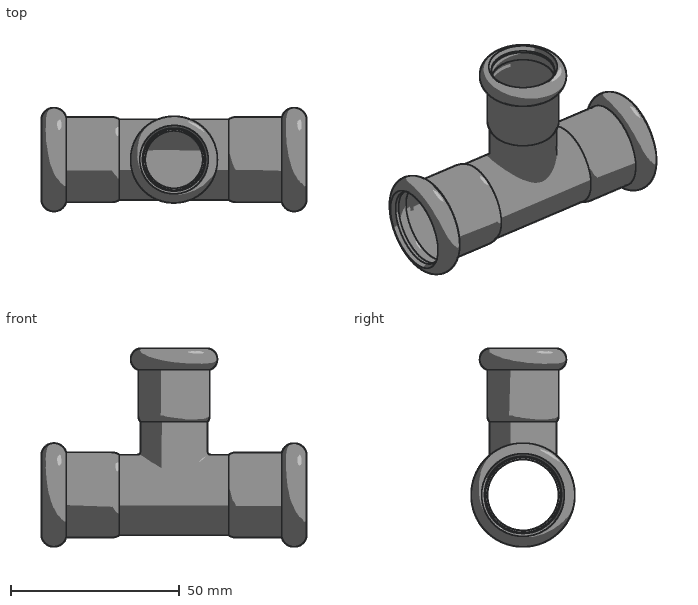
import cadquery as cq
import math

RUN_LENGTH = 78.6
BRANCH_HEIGHT = 43.5
WALL = 1.5
JUNCTION_FILLET = 0.8
LEAD_IN_DEPTH = 1.25
SEAL_WIDTH = 2.7
SEAL_BULGE = 0.3
SEAT_TAPER_LENGTH = 0.95

RUN_END = {
    "pipe_diameter": 24.0,
    "socket_diameter": 25.3,
    "bead_diameter": 30.8,
    "bead_width": 7.4,
    "mouth_diameter": 24.5,
    "seat_diameter": 22.9,
    "socket_depth": 21.0,
    "shoulder_length": 2.1,
}
BRANCH_END = {
    "pipe_diameter": 20.0,
    "socket_diameter": 21.3,
    "bead_diameter": 25.8,
    "bead_width": 6.45,
    "mouth_diameter": 20.3,
    "seat_diameter": 18.7,
    "socket_depth": 19.9,
    "shoulder_length": 2.0,
}


def arc_height(radius, offset):
    """Half chord of a circle at the given distance from its centre."""
    return math.sqrt(radius**2 - offset**2)


def revolve_z(profile):
    return profile.close().revolve(360, (0, 0, 0), (0, 1, 0))


def outer_body(end, length):
    """Solid pipe from z = 0 to its mouth at z = length, with shoulder, socket and bead."""
    pipe_r = end["pipe_diameter"] / 2
    socket_r = end["socket_diameter"] / 2
    bead_r = end["bead_diameter"] / 2
    mouth_r = end["mouth_diameter"] / 2
    socket_z = length - end["socket_depth"]
    shoulder_z = socket_z - end["shoulder_length"]
    bead_back_z = length - end["bead_width"]
    bead_middle_z = length - end["bead_width"] / 2
    profile = (
        cq.Workplane("XZ")
        .moveTo(0, length)
        .lineTo(mouth_r, length)
        .threePointArc((bead_r, bead_middle_z), (socket_r, bead_back_z))
        .lineTo(socket_r, socket_z)
        .tangentArcPoint((pipe_r, shoulder_z), relative=False)
        .lineTo(pipe_r, 0)
        .lineTo(0, 0)
    )
    return revolve_z(profile)


def inner_bore(end, length):
    """Space inside one pipe end: bore, socket, bulging seal ring and conical lead-in."""
    bore_r = end["pipe_diameter"] / 2 - WALL
    socket_r = end["socket_diameter"] / 2 - WALL
    seat_r = end["seat_diameter"] / 2
    mouth_r = end["mouth_diameter"] / 2
    seal_z = length - end["bead_width"] / 2
    seal_half_width = SEAL_WIDTH / 2
    socket_z = length - end["socket_depth"]
    bead_back_z = length - end["bead_width"]
    profile = (
        cq.Workplane("XZ")
        .lineTo(bore_r, 0)
        .lineTo(bore_r, socket_z)
        .lineTo(socket_r, socket_z)
        .lineTo(socket_r, bead_back_z)
        .lineTo(seat_r, bead_back_z + SEAT_TAPER_LENGTH)
        .lineTo(seat_r, seal_z - seal_half_width)
        .threePointArc((seat_r - SEAL_BULGE, seal_z), (seat_r, seal_z + seal_half_width))
        .lineTo(seat_r, length - LEAD_IN_DEPTH)
        .lineTo(mouth_r, length)
        .lineTo(0, length)
    )
    return revolve_z(profile)


def point_along_x(body, direction):
    """Turn a body standing on +Z so that it points along +X (1) or -X (-1)."""
    return body.rotate((0, 0, 0), (0, 1, 0), direction * 90)


def both_run_ends(body):
    return point_along_x(body, 1).union(point_along_x(body, -1))


def junction_edges(tee):
    """The curve where the branch pipe meets the run pipe on the outside."""
    run_r = RUN_END["pipe_diameter"] / 2
    branch_r = BRANCH_END["pipe_diameter"] / 2
    lowest_z = arc_height(run_r, branch_r)
    margin = 0.1
    junction_zone = cq.selectors.BoxSelector(
        (-branch_r - margin, -branch_r - margin, lowest_z - margin),
        (branch_r + margin, branch_r + margin, run_r + margin),
        boundingbox=True,
    )
    return tee.edges(junction_zone)


run_half_length = RUN_LENGTH / 2
run_body = both_run_ends(outer_body(RUN_END, run_half_length))
branch_body = outer_body(BRANCH_END, BRANCH_HEIGHT)
outside = junction_edges(run_body.union(branch_body)).fillet(JUNCTION_FILLET)

run_bore = both_run_ends(inner_bore(RUN_END, run_half_length))
branch_bore = inner_bore(BRANCH_END, BRANCH_HEIGHT)

result = outside.cut(run_bore).cut(branch_bore)